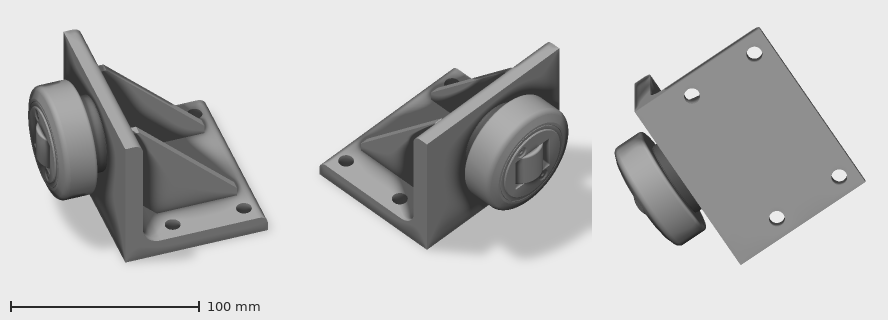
import cadquery as cq

total_depth = 112

width = 100.0
leg_length = 80.0
wall = 10.0
outer_edge_radius = 5.0
inner_radius = 10.0

rib_thickness = 5.0
rib_inset = 21.0
rib_end_gap = 10.0
rib_nose = 5.0
rib_corner_cut = 15.0

hole_diameter = 8.4
hole_inset = 10.0
hole_pitch = 40.0

bearing_height = 50.0
stem_diameter = 42.0
stem_edge_chamfer = 0.2
stem_start = 0.2
stem_end = 8.3
ring_diameter = 62.5
ring_back = 8.6
ring_back_radius = 1.7
ring_shoulder = 24.1
ring_shoulder_radius = 3.4
crown_diameter = 58.6
crown_start = 26.9
face_diameter = 50.0
ring_front = 28.6
groove_diameter = 47.0
groove_width = 0.3
groove_depth = 0.6
cap_diameter = 42.0
cap_edge_chamfer = 0.5
cap_front = 29.5

reach = total_depth - leg_length
roller_diameter = 25.6
roller_length = 20.0
roller_edge_radius = 0.9
window_width = 26.0
window_height = 20.6
window_depth = 17.9
window_corner_radius = 0.8

screw_x = 8.1
screw_z = 14.3
countersink_diameter = 6.7
countersink_floor_diameter = 5.4
countersink_depth = 0.7
socket_diameter = 2.4
socket_depth = 1.7

center_x = width / 2


def cylinder_forward(diameter, start, end, x=center_x, z=bearing_height):
    """Round bar along -Y between two distances in front of the bracket."""
    sketch = cq.Workplane("XZ", origin=(x, -start, z)).circle(diameter / 2)
    return sketch.extrude(end - start)


def make_angle():
    profile = (
        cq.Workplane("YZ")
        .moveTo(0, 0)
        .lineTo(leg_length, 0)
        .lineTo(leg_length, wall)
        .lineTo(wall, wall)
        .lineTo(wall, leg_length)
        .lineTo(0, leg_length)
        .close()
        .extrude(width)
    )
    at_inner_corner = cq.selectors.NearestToPointSelector((center_x, wall, wall))
    at_base_end = cq.selectors.NearestToPointSelector((center_x, leg_length, wall))
    at_top_end = cq.selectors.NearestToPointSelector((center_x, wall, leg_length))
    angle = profile.edges(at_inner_corner).fillet(inner_radius)
    angle = angle.edges(at_base_end).fillet(outer_edge_radius)
    return angle.edges(at_top_end).fillet(outer_edge_radius)


def make_rib(x):
    far_end = leg_length - rib_end_gap
    return (
        cq.Workplane("YZ", origin=(x, 0, 0))
        .moveTo(wall + rib_corner_cut, wall)
        .lineTo(far_end, wall)
        .lineTo(far_end, wall + rib_nose)
        .lineTo(wall + rib_nose, far_end)
        .lineTo(wall, far_end)
        .lineTo(wall, wall + rib_corner_cut)
        .close()
        .extrude(rib_thickness)
    )


def make_mounting_holes():
    back_row = leg_length - hole_inset
    centers = [
        (x, y)
        for x in (hole_inset, width - hole_inset)
        for y in (back_row, back_row - hole_pitch)
    ]
    return cq.Workplane("XY").pushPoints(centers).circle(hole_diameter / 2).extrude(wall)


def make_ring():
    profile = (
        cq.Workplane("XY")
        .moveTo(0, -ring_back)
        .lineTo(ring_diameter / 2 - ring_back_radius, -ring_back)
        .radiusArc((ring_diameter / 2, -ring_back - ring_back_radius), ring_back_radius)
        .lineTo(ring_diameter / 2, -ring_shoulder)
        .radiusArc((crown_diameter / 2, -crown_start), ring_shoulder_radius)
        .lineTo(face_diameter / 2, -ring_front)
        .lineTo(0, -ring_front)
        .close()
    )
    ring = profile.revolve(360, (0, 0, 0), (0, 1, 0))
    return ring.translate((center_x, 0, bearing_height))


def make_face_groove():
    start = ring_front - groove_depth
    outer = cylinder_forward(groove_diameter, start, ring_front)
    return outer.cut(cylinder_forward(groove_diameter - 2 * groove_width, start, ring_front))


def make_bearing():
    neck = cylinder_forward(stem_diameter - 2 * stem_edge_chamfer, 0, ring_back)
    stem = cylinder_forward(stem_diameter, stem_start, stem_end).edges().chamfer(stem_edge_chamfer)
    cap = cylinder_forward(cap_diameter, ring_back, cap_front).faces("<Y").chamfer(cap_edge_chamfer)
    return make_ring().cut(make_face_groove()).union(neck).union(stem).union(cap)


def make_window():
    opening = cq.Workplane("XZ", origin=(center_x, -cap_front + window_depth, bearing_height))
    opening = opening.rect(window_width, window_height).extrude(window_depth)
    return opening.edges("|Y").fillet(window_corner_radius)


def make_roller():
    axis_reach = reach - roller_diameter / 2
    bottom = bearing_height - roller_length / 2
    base = cq.Workplane("XY", origin=(center_x, -axis_reach, bottom))
    roller = base.circle(roller_diameter / 2).extrude(roller_length)
    return roller.edges().fillet(roller_edge_radius)


def make_screw_recess(x, z):
    mouth = cq.Workplane("XZ", origin=(x, -cap_front, z)).circle(countersink_diameter / 2)
    cone = (
        mouth.workplane(offset=-countersink_depth)
        .circle(countersink_floor_diameter / 2)
        .loft(ruled=True)
    )
    return cone.union(cylinder_forward(socket_diameter, cap_front - socket_depth, cap_front, x, z))


result = make_angle().cut(make_mounting_holes())
for rib_x in (rib_inset, width - rib_inset - rib_thickness):
    result = result.union(make_rib(rib_x))
result = result.union(make_bearing()).cut(make_window()).union(make_roller())
for side in (-1, 1):
    result = result.cut(make_screw_recess(center_x + side * screw_x, bearing_height - side * screw_z))